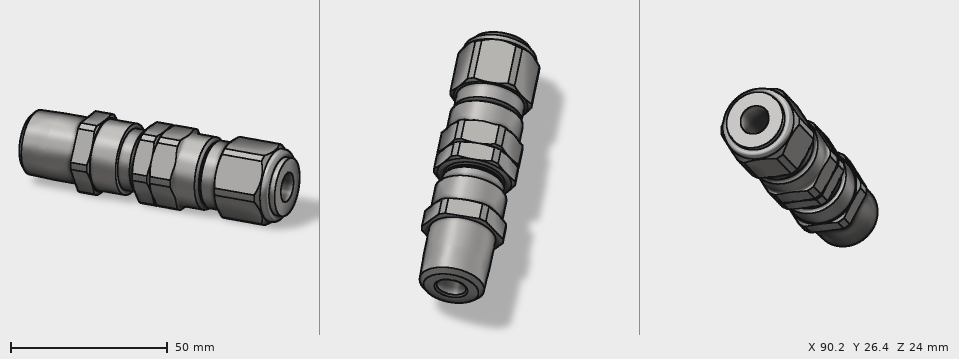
import cadquery as cq
import math

length = 90.2
across_flats = 24.0
corner_radius = 26.4 / 2

bore_radius = 4.8
bore_chamfer = 0.6

lead_chamfer = 1.5
lead_radius = 8.9
taper_start_radius = 21.0 / 2
taper_end = 9.8
shank_radius = 21.6 / 2

body_hex_start = 20.1
body_hex_end = 26.25
collar_radius = 23.2 / 2
collar_end = 35.2
neck_radius = 10.0
neck_end = 40.5
neck_chamfer = 1.2

lock_face_start = 40.7
lock_face_radius = 9.8
lock_face_chamfer = 0.6
lock_hex_start = lock_face_start + lock_face_chamfer
lock_hex_end = 47.4
coupling_hex_end = 55.2
coupling_blend_end = 56.3
sleeve_radius = 11.8
sleeve_chamfer = 0.8
sleeve_end_radius = 10.3
sleeve_end = 63.9

stem_radius = 11.0
stem_start = 63.95
stem_chamfer = 1.0

nut_start = 70.1
nut_hex_end = 86.1
rim_radius = 11.8
rim_end = 88.2
rim_fillet = 1.2
spigot_radius = 9.5

light_chamfer = math.tan(math.radians(20))
standard_chamfer = math.tan(math.radians(30))
steep_chamfer = math.tan(math.radians(45))


def revolve_about_x(profile):
    """Turn a closed profile drawn in the XY plane (X along the axis, Y the radius) about X."""
    return profile.close().revolve(360, (0, 0, 0), (1, 0, 0))


def cylinder(start, end, radius):
    return cq.Workplane("YZ", origin=(start, 0, 0)).circle(radius).extrude(end - start)


def hexagon(start, end):
    """Hexagonal prism along X with flats on +Z and -Z."""
    across_corners = across_flats / math.cos(math.radians(30))
    return cq.Workplane("YZ", origin=(start, 0, 0)).polygon(6, across_corners).extrude(end - start)


def turned_hexagon(start, end, start_slope, end_slope, end_radius=across_flats / 2):
    """Hexagon with its corners turned round and coned down to each end; zero slope leaves the start sharp."""
    envelope = cq.Workplane("XY").moveTo(start, 0)
    if start_slope:
        envelope = envelope.lineTo(start, across_flats / 2)
    envelope = (
        envelope
        .lineTo(start + (corner_radius - across_flats / 2) * start_slope, corner_radius)
        .lineTo(end - (corner_radius - end_radius) * end_slope, corner_radius)
        .lineTo(end, end_radius)
        .lineTo(end, 0)
    )
    return hexagon(start, end).intersect(revolve_about_x(envelope))


def coupling_hexagon():
    """Hexagon coned towards the lock nut and blended into the sleeve by a hollow arc."""
    depth = corner_radius - across_flats / 2
    run = coupling_blend_end - coupling_hex_end
    rise = corner_radius - sleeve_radius
    blend_radius = (run**2 + rise**2) / (2 * rise)
    half_sweep = math.atan2(rise, run)
    arc_middle = (
        coupling_blend_end - blend_radius * math.sin(half_sweep),
        sleeve_radius + blend_radius * (1 - math.cos(half_sweep)),
    )
    envelope = (
        cq.Workplane("XY")
        .moveTo(lock_hex_end, 0)
        .lineTo(lock_hex_end, across_flats / 2)
        .lineTo(lock_hex_end + depth * standard_chamfer, corner_radius)
        .lineTo(coupling_hex_end, corner_radius)
        .threePointArc(arc_middle, (coupling_blend_end, sleeve_radius))
        .lineTo(coupling_blend_end, 0)
    )
    return hexagon(lock_hex_end, coupling_blend_end).intersect(revolve_about_x(envelope))


def turned_body():
    """All round stretches, from the threaded end to the end of the stem inside the gland nut."""
    profile = (
        cq.Workplane("XY")
        .moveTo(0, 0)
        .lineTo(0, lead_radius)
        .lineTo(lead_chamfer, taper_start_radius)
        .lineTo(taper_end, shank_radius)
        .lineTo(body_hex_start, shank_radius)
        .lineTo(body_hex_start, collar_radius)
        .lineTo(collar_end, collar_radius)
        .lineTo(collar_end, neck_radius)
        .lineTo(neck_end - neck_chamfer, neck_radius)
        .lineTo(neck_end, neck_radius - neck_chamfer)
        .lineTo(lock_face_start, lock_face_radius - lock_face_chamfer)
        .lineTo(lock_hex_start, lock_face_radius)
        .lineTo(lock_hex_end, lock_face_radius)
        .lineTo(lock_hex_end, sleeve_radius)
        .lineTo(sleeve_end - sleeve_chamfer, sleeve_radius)
        .lineTo(sleeve_end, sleeve_end_radius)
        .lineTo(sleeve_end, stem_radius - stem_chamfer)
        .lineTo(stem_start, stem_radius - stem_chamfer)
        .lineTo(stem_start + stem_chamfer, stem_radius)
        .lineTo(nut_hex_end, stem_radius)
        .lineTo(nut_hex_end, 0)
    )
    return revolve_about_x(profile)


def nut_rim():
    rim = cylinder(nut_hex_end, rim_end, rim_radius)
    return rim.faces(">X").edges().fillet(rim_fillet)


def bore():
    profile = (
        cq.Workplane("XY")
        .moveTo(0, 0)
        .lineTo(0, bore_radius + bore_chamfer)
        .lineTo(bore_chamfer, bore_radius)
        .lineTo(length, bore_radius)
        .lineTo(length, 0)
    )
    return revolve_about_x(profile)


body_hex = turned_hexagon(body_hex_start, body_hex_end, 0, light_chamfer)
lock_hex = turned_hexagon(lock_hex_start, lock_hex_end, light_chamfer, light_chamfer)
coupling_hex = coupling_hexagon()
nut_hex = turned_hexagon(nut_start, nut_hex_end, standard_chamfer, steep_chamfer, rim_radius)
spigot = cylinder(rim_end, length, spigot_radius)

result = turned_body()
for section in (body_hex, lock_hex, coupling_hex, nut_hex, nut_rim(), spigot):
    result = result.union(section)
result = result.cut(bore())